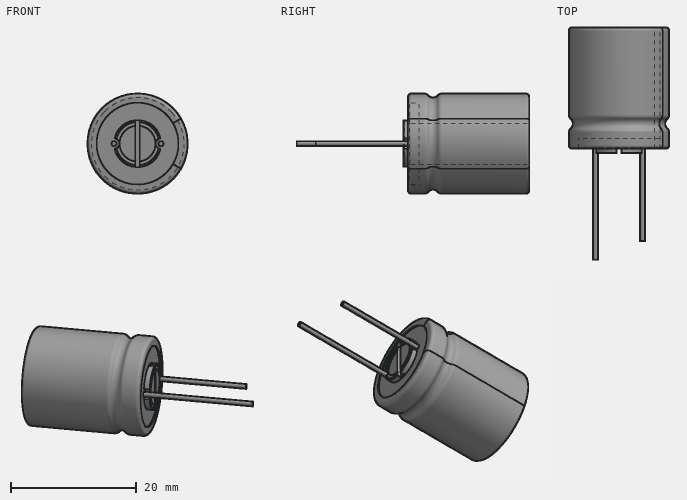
import cadquery as cq
import math

can_radius = 8.0
edge_fillet = 0.55
back_y = 37.0
seat_y = 17.0
standoff_height = 0.7
rim_y = seat_y + standoff_height

neck_y = rim_y + 4.0
neck_depth = 0.63
neck_half_width = 1.37
waist_half_width = 0.78

core_radius = 6.5
stripe_angle = 60.0

seal_recess = 0.22
seal_thickness = 1.48
standoff_radius = 3.75
lip_width = 0.3
groove_depth = 0.1
inner_disc_radius = 2.85
slot_width = 0.78
lead_clearance_radius = 0.85

lead_radius = 0.4
lead_offset = 3.75
long_lead_tip_y = 0.0
short_lead_tip_y = 3.0

seal_front_y = rim_y + seal_recess
seal_back_y = seal_front_y + seal_thickness


def cylinder(radius, start_y, end_y, x=0.0):
    """Cylinder along +Y from start_y to end_y."""
    base_centre = cq.Vector(x, start_y, 0)
    along_y = cq.Vector(0, 1, 0)
    return cq.Workplane(cq.Solid.makeCylinder(radius, end_y - start_y, base_centre, along_y))


def can_envelope(angle):
    """Outer can shape, revolved about Y by the given angle and centred on +X."""
    blend_angle = 2 * math.atan(neck_depth / neck_half_width)
    waist_arc = waist_half_width / math.sin(blend_angle)
    shoulder_arc = (neck_half_width - waist_half_width) / math.sin(blend_angle)
    waist_radius = can_radius - neck_depth
    blend_radius = waist_radius + waist_arc * (1 - math.cos(blend_angle))
    shoulder_mid_radius = can_radius - shoulder_arc * (1 - math.cos(blend_angle / 2))
    shoulder_mid = neck_half_width - shoulder_arc * math.sin(blend_angle / 2)
    flat_radius = can_radius - edge_fillet
    arc_mid = edge_fillet * (1 - math.sqrt(0.5))
    profile = (
        cq.Workplane("XY")
        .moveTo(0, rim_y)
        .lineTo(flat_radius, rim_y)
        .threePointArc((can_radius - arc_mid, rim_y + arc_mid), (can_radius, rim_y + edge_fillet))
        .lineTo(can_radius, neck_y - neck_half_width)
        .threePointArc((shoulder_mid_radius, neck_y - shoulder_mid), (blend_radius, neck_y - waist_half_width))
        .threePointArc((waist_radius, neck_y), (blend_radius, neck_y + waist_half_width))
        .threePointArc((shoulder_mid_radius, neck_y + shoulder_mid), (can_radius, neck_y + neck_half_width))
        .lineTo(can_radius, back_y - edge_fillet)
        .threePointArc((can_radius - arc_mid, back_y - arc_mid), (flat_radius, back_y))
        .lineTo(0, back_y)
        .close()
    )
    solid = profile.revolve(angle, (0, 0, 0), (0, 1, 0))
    return solid.rotate((0, 0, 0), (0, 1, 0), -angle / 2)


def make_stripe():
    """Full-length sector of the shell outside the core."""
    return can_envelope(stripe_angle).cut(cylinder(core_radius, rim_y, back_y))


def make_can(stripe):
    """Can with the stripe sector removed and a pocket for the seal."""
    return can_envelope(360).cut(stripe).cut(cylinder(core_radius, rim_y, seal_back_y))


def make_seal():
    """Seal disc with a standoff that is grooved, slotted and relieved around the leads."""
    standoff = cylinder(standoff_radius, seat_y, seal_front_y)
    groove = cylinder(standoff_radius - lip_width, seat_y, seat_y + groove_depth)
    inner_disc = cylinder(inner_disc_radius, seat_y, seat_y + groove_depth)
    slot = (
        cq.Workplane("XY")
        .box(slot_width, standoff_height, 2 * standoff_radius)
        .translate((0, seat_y + standoff_height / 2, 0))
    )
    standoff = standoff.cut(groove).union(inner_disc).cut(slot)
    for side in (-1, 1):
        standoff = standoff.cut(cylinder(lead_clearance_radius, seat_y, seal_front_y, side * lead_offset))
    return cylinder(core_radius, seal_front_y, seal_back_y).union(standoff)


def make_lead(x, tip_y):
    """Straight round lead that ends on the seal face."""
    return cylinder(lead_radius, tip_y, seal_front_y, x)


stripe = make_stripe()
can = make_can(stripe)
seal = make_seal()
lead_places = [(-lead_offset, long_lead_tip_y), (lead_offset, short_lead_tip_y)]
leads = [make_lead(x, tip_y).val() for x, tip_y in lead_places]

result = cq.Compound.makeCompound([can.val(), stripe.val(), seal.val(), *leads])